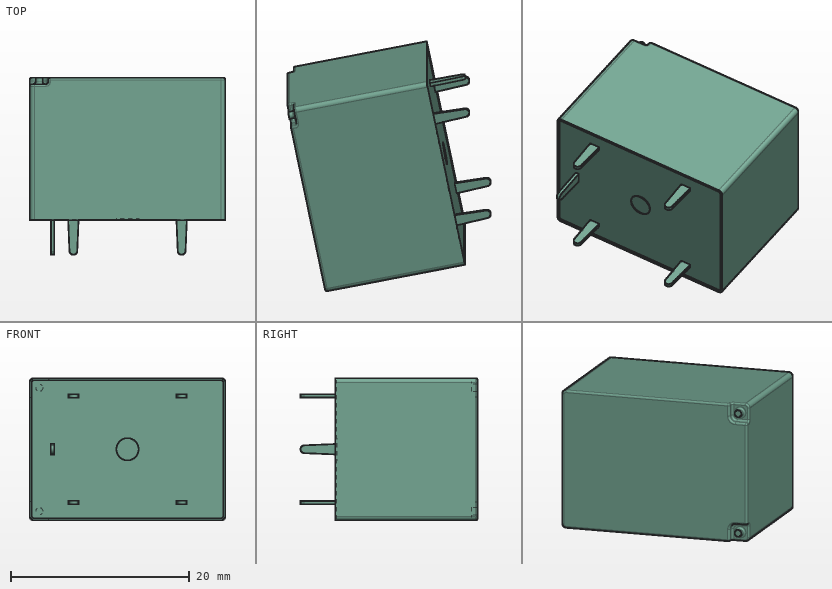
import cadquery as cq
import math

CASE_LENGTH = 22.0
CASE_DEPTH = 16.0
CASE_HEIGHT = 16.0
LONG_EDGE_RADIUS = 0.5
BACK_EDGE_RADIUS = 0.25
LEFT_X = -CASE_LENGTH / 2
FRONT_Y = -CASE_DEPTH / 2
BACK_Y = CASE_DEPTH / 2

WALL_THICKNESS = 0.25
BASE_RECESS = 0.1
BASE_Y = FRONT_Y + BASE_RECESS
DIMPLE_DIAMETER = 2.5
DIMPLE_DEPTH = 0.1

NOTCH_SIZE = 2.08
NOTCH_DEPTH = 0.72
NOTCH_RIM_RADIUS = 0.22
NOTCH_CORNER_RADIUS = 0.65
NOTCH_FLOOR_RADIUS = 0.25
POST_RADIUS = 0.4
POST_INSET = 1.07
POST_EMBED = 0.5
SELECT_MARGIN = 0.01

PIN_LENGTH = 3.9
PIN_THICKNESS = 0.4
PIN_ROOT_WIDTH = 1.2
PIN_TIP_WIDTH = 0.9
PIN_TIP_RISE = 0.4
CORNER_PIN_X = 6.08
CORNER_PIN_Z = 6.0
COMMON_PIN_X = -8.4


def front_plane(y):
    """Workplane at the given Y with local x along +X and its normal along -Y."""
    return cq.Workplane("XZ", origin=(0, y, 0))


def make_notch_cutter(side):
    """Block centred on one back corner; side is +1 for the top, -1 for the bottom."""
    size = 2 * NOTCH_SIZE
    depth = 2 * NOTCH_DEPTH
    corner = (LEFT_X, BACK_Y, side * CASE_HEIGHT / 2)
    inner_z_face = "<Z" if side > 0 else ">Z"
    return (
        cq.Workplane("XY")
        .box(size, depth, size)
        .edges(f">X and {inner_z_face}")
        .fillet(NOTCH_CORNER_RADIUS)
        .faces("<Y")
        .edges()
        .fillet(NOTCH_FLOOR_RADIUS)
        .translate(corner)
    )


def select_notch_rim(case, side):
    """Edges where one notch breaks through the -X face and the top or bottom face."""
    top_z = side * CASE_HEIGHT / 2
    inner_z = top_z - side * (NOTCH_SIZE + SELECT_MARGIN)
    floor_y = BACK_Y - NOTCH_DEPTH - SELECT_MARGIN
    below_back_y = BACK_Y - SELECT_MARGIN
    skin = LONG_EDGE_RADIUS / 2
    on_left = cq.selectors.BoxSelector(
        (LEFT_X - SELECT_MARGIN, floor_y, inner_z),
        (LEFT_X + skin, below_back_y, top_z + side * SELECT_MARGIN),
    )
    on_top = cq.selectors.BoxSelector(
        (LEFT_X - SELECT_MARGIN, floor_y, top_z - side * skin),
        (LEFT_X + NOTCH_SIZE + SELECT_MARGIN, below_back_y, top_z + side * SELECT_MARGIN),
    )
    return case.edges(on_left + on_top)


def make_notched_case():
    """Block with rounded long edges, two back notches and rounded back and rim edges."""
    case = cq.Workplane("XY").box(CASE_LENGTH, CASE_DEPTH, CASE_HEIGHT)
    case = case.edges("|Y").fillet(LONG_EDGE_RADIUS)
    for side in (1, -1):
        case = case.cut(make_notch_cutter(side))
        case = select_notch_rim(case, side).fillet(NOTCH_RIM_RADIUS)
    case = case.faces(">Y").edges().fillet(BACK_EDGE_RADIUS)
    return case


def make_post(side):
    """Round post from the notch floor to the back face, with a flared root."""
    x = LEFT_X + POST_INSET
    z = side * (CASE_HEIGHT / 2 - POST_INSET)
    floor_y = BACK_Y - NOTCH_DEPTH
    root_y = floor_y - POST_EMBED
    flare_end_y = floor_y + NOTCH_FLOOR_RADIUS
    flare_radius = POST_RADIUS + NOTCH_FLOOR_RADIUS
    arc_offset = NOTCH_FLOOR_RADIUS * (1 - math.sqrt(0.5))
    profile = (
        cq.Workplane("XY")
        .moveTo(0, root_y)
        .lineTo(flare_radius, root_y)
        .lineTo(flare_radius, floor_y)
        .threePointArc((POST_RADIUS + arc_offset, floor_y + arc_offset), (POST_RADIUS, flare_end_y))
        .lineTo(POST_RADIUS, BACK_Y)
        .lineTo(0, BACK_Y)
        .close()
    )
    return profile.revolve(360, (0, 0, 0), (0, 1, 0)).translate((x, 0, z))


def make_base_recess():
    """Shallow pocket inside the front wall, plus the dimple in the base plate."""
    recess = (
        front_plane(BASE_Y)
        .rect(CASE_LENGTH - 2 * WALL_THICKNESS, CASE_HEIGHT - 2 * WALL_THICKNESS)
        .extrude(BASE_RECESS)
        .edges("|Y")
        .fillet(LONG_EDGE_RADIUS - WALL_THICKNESS)
    )
    dimple = front_plane(BASE_Y + DIMPLE_DEPTH).circle(DIMPLE_DIAMETER / 2).extrude(DIMPLE_DEPTH)
    return recess.union(dimple)


def make_pin():
    """Pin on the Y axis, wide along X, rooted in the base plate."""
    tip_y = FRONT_Y - PIN_LENGTH
    shoulder_y = tip_y + PIN_TIP_RISE
    return (
        cq.Workplane("XY")
        .moveTo(-PIN_ROOT_WIDTH / 2, BASE_Y)
        .lineTo(-PIN_TIP_WIDTH / 2, shoulder_y)
        .threePointArc((0, tip_y), (PIN_TIP_WIDTH / 2, shoulder_y))
        .lineTo(PIN_ROOT_WIDTH / 2, BASE_Y)
        .close()
        .extrude(PIN_THICKNESS / 2, both=True)
    )


result = make_notched_case()
for side in (1, -1):
    result = result.union(make_post(side))
result = result.cut(make_base_recess())

pin = make_pin()
for x in (-CORNER_PIN_X, CORNER_PIN_X):
    for z in (-CORNER_PIN_Z, CORNER_PIN_Z):
        result = result.union(pin.translate((x, 0, z)))
common_pin = pin.rotate((0, 0, 0), (0, 1, 0), 90).translate((COMMON_PIN_X, 0, 0))
result = result.union(common_pin)